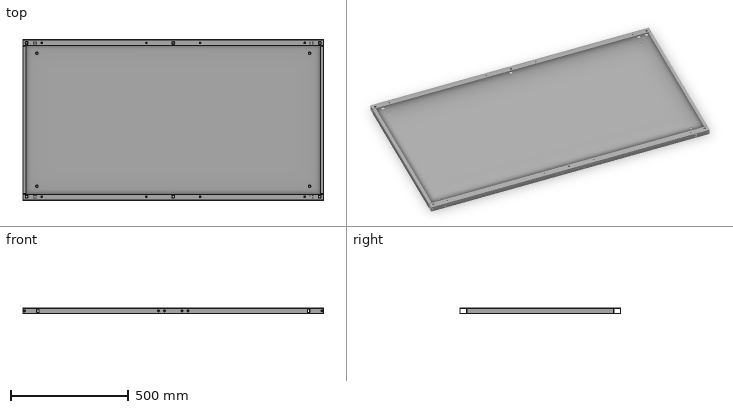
import cadquery as cq

length = 1283.0
width = 686.0
height = 25.0
sheet = 1.9

long_lip = 26.0
short_lip = 14.0
corner_opening = 30.0
lip_gap = 3.0
bend_relief = 5.0

lip_hole_inset = 15.0
small_hole_diameter = 6.0
small_lip_hole_xs = (114.0, 561.0)
large_lip_hole_diameter = 10.0
under_hole_diameter = 13.0
large_hole_x = 625.0

floor_hole_diameter = 9.0
floor_hole_x = 581.0
floor_hole_y = 284.0

floor_slot_x = 589.0
floor_slot_length = 13.0
floor_slot_width = 10.0

wall_hole_xs = (37.0, 63.0, 634.0)
wall_slot_x = 577.0
wall_slot_width = 9.0
wall_slot_height = 17.0

lip_bottom = height - sheet
lip_line_y = width / 2 - lip_hole_inset


def block(size_x, size_y, size_z, x, y, bottom):
    """Box centred on (x, y) that stands on the height `bottom`."""
    box = cq.Workplane("XY").box(size_x, size_y, size_z, centered=(True, True, False))
    return box.translate((x, y, bottom))


def both_sides(*distances):
    """Each distance on the negative and the positive side of the centre."""
    return [side * distance for distance in distances for side in (-1, 1)]


def grid(xs, ys):
    """Every pairing of the given x and y positions."""
    return [(x, y) for x in xs for y in ys]


def long_edge(side):
    """Wall and return lip along one long side."""
    wall = block(length, sheet, height, 0, side * (width - sheet) / 2, 0)
    lip = block(length, long_lip, sheet, 0, side * (width - long_lip) / 2, lip_bottom)
    return wall.union(lip)


def short_edge(side):
    """Wall and return lip along one short side; inside the bend the lip reaches past the wall."""
    wall_span = width - 2 * corner_opening
    tongue_span = width - 2 * (long_lip + lip_gap)
    tongue_width = short_lip - bend_relief
    tongue_x = side * (length / 2 - bend_relief - tongue_width / 2)
    wall = block(sheet, wall_span, height, side * (length - sheet) / 2, 0, 0)
    lip = block(short_lip, wall_span, sheet, side * (length - short_lip) / 2, 0, lip_bottom)
    tongue = block(tongue_width, tongue_span, sheet, tongue_x, 0, lip_bottom)
    return wall.union(lip).union(tongue)


def sheet_holes(points, diameter, bottom):
    """Round cutters through one sheet thickness that starts at the height `bottom`."""
    plane = cq.Workplane("XY", origin=(0, 0, bottom))
    return plane.pushPoints(points).circle(diameter / 2).extrude(sheet)


def wall_cutters(xs):
    """Points at mid-height from which cutters run through both long walls."""
    return cq.Workplane("XZ", origin=(0, 0, height / 2)).pushPoints([(x, 0) for x in xs])


result = block(length, width, sheet, 0, 0, 0)
for side in (-1, 1):
    result = result.union(long_edge(side)).union(short_edge(side))

small_lip_points = grid(both_sides(*small_lip_hole_xs), both_sides(lip_line_y))
large_lip_points = grid((-large_hole_x, 0, large_hole_x), both_sides(lip_line_y))
result = result.cut(sheet_holes(small_lip_points, small_hole_diameter, lip_bottom))
result = result.cut(sheet_holes(large_lip_points, large_lip_hole_diameter, lip_bottom))
result = result.cut(sheet_holes(large_lip_points, under_hole_diameter, 0))

floor_points = grid(both_sides(floor_hole_x), both_sides(floor_hole_y))
result = result.cut(sheet_holes(floor_points, floor_hole_diameter, 0))
for x, y in grid(both_sides(floor_slot_x), both_sides(lip_line_y)):
    result = result.cut(block(floor_slot_length, floor_slot_width, sheet, x, y, 0))

wall_holes = wall_cutters(both_sides(*wall_hole_xs)).circle(small_hole_diameter / 2)
wall_slots = wall_cutters(both_sides(wall_slot_x)).slot2D(wall_slot_height, wall_slot_width, 90)
for opening in (wall_holes, wall_slots):
    result = result.cut(opening.extrude(width / 2, both=True))